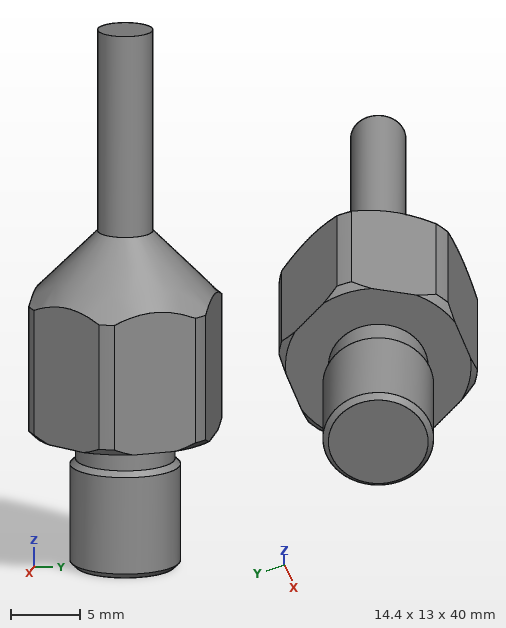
import cadquery as cq
import math

total_length = 40.0
pin_length = 15.0
hex_base_z = 10.0
neck_length = 2.0

pin_radius = 2.0
hex_sides = 6
across_flats = 13.0
body_radius = 7.2
cone_angle = 45.0
hex_chamfer = 0.5

shank_radius = 4.0
neck_radius = 3.6
shank_chamfer = 0.4

cone_top_z = total_length - pin_length
cone_base_z = cone_top_z - (body_radius - pin_radius) / math.tan(math.radians(cone_angle))
shank_top_z = hex_base_z - neck_length
across_corners = across_flats / math.cos(math.pi / hex_sides)


def revolve_profile(points):
    """Revolve a closed outline of (radius, z) points about the Z axis."""
    return cq.Workplane("XZ").polyline(points).close().revolve(360, (0, 0), (0, 1))


def make_hex_body():
    """Hexagon with corners along X, trimmed by a cylinder with conical ends."""
    hexagon = (
        cq.Workplane("XY")
        .workplane(offset=hex_base_z)
        .polygon(hex_sides, across_corners)
        .extrude(cone_top_z - hex_base_z)
    )
    turned_envelope = revolve_profile([
        (0, hex_base_z),
        (body_radius - hex_chamfer, hex_base_z),
        (body_radius, hex_base_z + hex_chamfer),
        (body_radius, cone_base_z),
        (pin_radius, cone_top_z),
        (0, cone_top_z),
    ])
    return hexagon.intersect(turned_envelope)


def make_pin():
    """Plain cylindrical pin standing on the cone."""
    return cq.Workplane("XY").workplane(offset=cone_top_z).circle(pin_radius).extrude(pin_length)


def make_shank():
    """Shank chamfered at both ends, with the narrower neck above it."""
    chamfer_radius = shank_radius - shank_chamfer
    return revolve_profile([
        (0, 0),
        (chamfer_radius, 0),
        (shank_radius, shank_chamfer),
        (shank_radius, shank_top_z - shank_chamfer),
        (neck_radius, shank_top_z),
        (neck_radius, hex_base_z),
        (0, hex_base_z),
    ])


result = make_hex_body().union(make_pin()).union(make_shank())